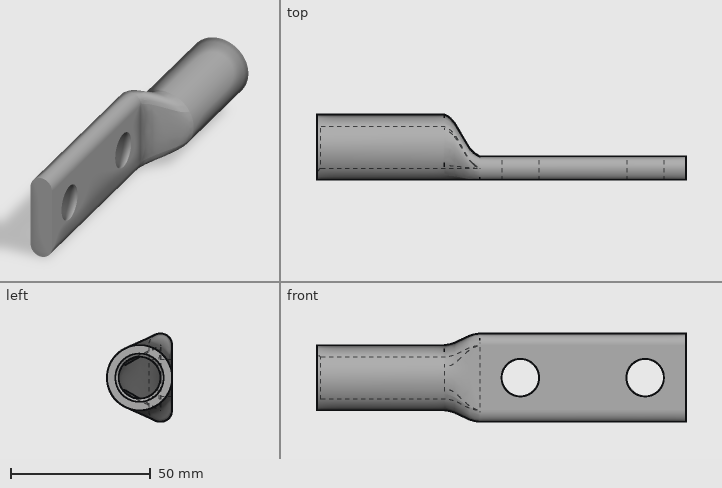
import cadquery as cq
import math

length = 132.1
barrel_diameter = 23.4
wall = 4.2
palm_height = 31.7
barrel_end = 45.6
palm_start = 58.2
hole_diameter = 13.3
hole_positions = (72.8, 117.4)
mouth_chamfer = 1.2
seam_angle = math.radians(30)
closed_gap = 0.1
blend_steps = (0, 0.25, 0.5, 0.75, 1)

barrel_radius = barrel_diameter / 2
bore_radius = barrel_radius - wall
palm_thickness = 2 * wall
palm_center_y = -barrel_radius + wall
flat_half_height = palm_height / 2 - wall


def round_points(radius):
    """Key (Y, Z) points of a circle: alternating corners and arc midpoints."""
    angles = (
        math.pi - seam_angle, math.pi, math.pi + seam_angle, 1.5 * math.pi,
        -seam_angle, 0, seam_angle, 0.5 * math.pi,
    )
    return [(radius * math.cos(a), radius * math.sin(a)) for a in angles]


def flat_points(end_radius):
    """Matching key points of a slot shape with rounded top and bottom."""
    front = palm_center_y - end_radius
    back = palm_center_y + end_radius
    tip = flat_half_height + end_radius
    return [
        (front, flat_half_height), (front, 0), (front, -flat_half_height), (palm_center_y, -tip),
        (back, -flat_half_height), (back, 0), (back, flat_half_height), (palm_center_y, tip),
    ]


def section(x, points):
    """Closed wire at x: front side, lower end, back side, upper end."""
    sketch = cq.Workplane("YZ", origin=(x, 0, 0)).moveTo(*points[0])
    for corner in (0, 2, 4, 6):
        middle = points[corner + 1]
        finish = points[(corner + 2) % 8]
        is_straight = points[corner][0] == middle[0] == finish[0]
        if is_straight:
            sketch = sketch.lineTo(*finish)
        else:
            sketch = sketch.threePointArc(middle, finish)
    return sketch.close().val()


def transition(radius, end_radius):
    """S-shaped blend from the round barrel to the flat palm."""
    start_points = round_points(radius)
    end_points = flat_points(end_radius)
    wires = []
    for step in blend_steps:
        ease = step * step * (3 - 2 * step)
        x = barrel_end + step * (palm_start - barrel_end)
        points = [
            (y0 * (1 - ease) + y1 * ease, z0 * (1 - ease) + z1 * ease)
            for (y0, z0), (y1, z1) in zip(start_points, end_points)
        ]
        wires.append(section(x, points))
    return cq.Workplane(cq.Solid.makeLoft(wires))


barrel = cq.Workplane("YZ").circle(barrel_radius).circle(bore_radius).extrude(barrel_end)
mouth = cq.Workplane(
    cq.Solid.makeCone(
        bore_radius + mouth_chamfer, bore_radius, mouth_chamfer,
        cq.Vector(0, 0, 0), cq.Vector(1, 0, 0),
    )
)
barrel = barrel.cut(mouth)

shoulder = transition(barrel_radius, wall).cut(transition(bore_radius, closed_gap / 2))

palm = (
    cq.Workplane("YZ", origin=(palm_start, palm_center_y, 0))
    .slot2D(palm_height, palm_thickness, 90)
    .extrude(length - palm_start)
)
holes = (
    cq.Workplane("XZ")
    .pushPoints([(x, 0) for x in hole_positions])
    .circle(hole_diameter / 2)
    .extrude(barrel_diameter, both=True)
)

result = barrel.union(shoulder).union(palm).cut(holes)